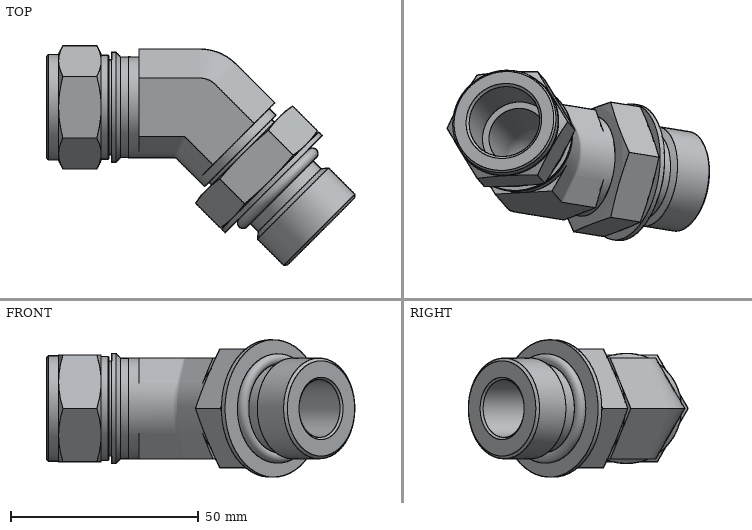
import cadquery as cq
import math

OVERALL_LENGTH = 82.3
BEND_ANGLE = 45.0
BEND = math.radians(BEND_ANGLE)
HALF_BEND = BEND / 2
COS_30 = math.cos(math.radians(30))

BODY_FLATS = 27.0
BODY_RADIUS = BODY_FLATS / 2
BODY_CORNER = BODY_RADIUS / COS_30
INLET_BODY_LENGTH = 15.5
OUTLET_BODY_LENGTH = 13.9
BEND_CENTRE_OFFSET = 2.05
CROTCH_FILLET = 1.2

PIPE_RADIUS = 26.9 / 2

OUTLET_END = 46.9
COLLAR_END = 16.5
LOCKNUT_START = 17.45
LOCKNUT_LENGTH = 10.2
LOCKNUT_FLATS = 31.8
LOCKNUT_CHAMFER = 0.4
WASHER_RADIUS = 36.7 / 2
WASHER_LENGTH = 1.4
NECK_RADIUS = 23.8 / 2
THREAD_LENGTH = 10.6
THREAD_CONE_LENGTH = 1.2
TIP_CHAMFER_LENGTH = 0.65
TIP_RADIUS = 25.4 / 2
O_RING_OUTER_RADIUS = 29.2 / 2
O_RING_SECTION_RADIUS = 3.05 / 2

LOCKNUT_END = LOCKNUT_START + LOCKNUT_LENGTH
WASHER_END = LOCKNUT_END + WASHER_LENGTH
THREAD_START = OUTLET_END - THREAD_LENGTH

CAP_RADIUS = 28.2 / 2
CAP_LENGTH = 3.2
CAP_CHAMFER = 0.5
INLET_NUT_FLATS = 28.6
INLET_NUT_LENGTH = 11.4
INLET_NUT_CHAMFER = 1.15
SKIRT_RADIUS = 27.8 / 2
SKIRT_LENGTH = 2.1
SKIRT_CHAMFER = 0.3
GAP_RADIUS = 25.4 / 2
GAP_LENGTH = 0.65
FLANGE_RADIUS = 29.5 / 2
FLANGE_LENGTH = 1.15
FLANGE_CONE_LENGTH = 1.2
SHANK_LENGTH = 2.1

OUTLET_REACH = (OUTLET_END - TIP_CHAMFER_LENGTH) * math.cos(BEND)
OUTLET_REACH += PIPE_RADIUS * math.sin(BEND)
INLET_END = OUTLET_REACH - OVERALL_LENGTH
INLET_NUT_START = INLET_END + CAP_LENGTH
INLET_NUT_END = INLET_NUT_START + INLET_NUT_LENGTH
SKIRT_END = INLET_NUT_END + SKIRT_LENGTH
FLANGE_START = SKIRT_END + GAP_LENGTH
FLANGE_END = FLANGE_START + FLANGE_LENGTH
SHANK_START = FLANGE_END + FLANGE_CONE_LENGTH
SHANK_END = SHANK_START + SHANK_LENGTH

SOCKET_RADIUS = 19.3 / 2
SOCKET_MOUTH_RADIUS = 20.7 / 2
SOCKET_CHAMFER_LENGTH = 0.65
SOCKET_DEPTH = FLANGE_START - INLET_END
INLET_BORE_RADIUS = 15.7 / 2
OUTLET_BORE_RADIUS = 15.5 / 2
OUTLET_MOUTH_RADIUS = 16.6 / 2
OUTLET_MOUTH_CHAMFER = 0.6


def turned(profile):
    """Solid of revolution about X from (station, radius) points."""
    first_station = profile[0][0]
    last_station = profile[-1][0]
    outline = [(first_station, 0), *profile, (last_station, 0)]
    return cq.Workplane("XY").polyline(outline).close().revolve(360, (0, 0, 0), (1, 0, 0))


def chamfered_hex(start, length, flats, chamfer):
    """Hexagonal nut on X, flats facing +Z and -Z, corners turned down at both ends."""
    corner = flats / 2 / COS_30
    face = flats / 2
    end = start + length
    prism = cq.Workplane("YZ").workplane(offset=start).polygon(6, 2 * corner).extrude(length)
    envelope = turned([
        (start, face),
        (start + chamfer, corner),
        (end - chamfer, corner),
        (end, face),
    ])
    return prism.intersect(envelope)


def to_outlet(solid):
    """Turn a solid built on X onto the outlet axis."""
    return solid.rotate((0, 0, 0), (0, 0, 1), -BEND_ANGLE)


def rim_point(degrees):
    """Point of the body's inscribed circle, as (y, z), at an angle from +Y."""
    angle = math.radians(degrees)
    return (BODY_RADIUS * math.cos(angle), BODY_RADIUS * math.sin(angle))


def body_bar(start, end):
    """Body bar along X: hexagonal on the outer (+Y) side, round on the inner side."""
    half_side = BODY_CORNER / 2
    section = (
        cq.Workplane("YZ").workplane(offset=start)
        .moveTo(*rim_point(150))
        .lineTo(-half_side, BODY_RADIUS)
        .lineTo(*rim_point(90))
        .lineTo(half_side, BODY_RADIUS)
        .lineTo(*rim_point(30))
        .lineTo(BODY_CORNER, 0)
        .lineTo(*rim_point(-30))
        .lineTo(half_side, -BODY_RADIUS)
        .lineTo(*rim_point(-90))
        .lineTo(-half_side, -BODY_RADIUS)
        .lineTo(*rim_point(-150))
        .threePointArc(rim_point(180), rim_point(150))
        .close()
    )
    return section.extrude(end - start)


def body_spigot(start, end):
    """Round end of the body along X, with its rim split where it touches the flats."""
    section = cq.Workplane("YZ").workplane(offset=start).moveTo(*rim_point(150))
    for contact in (90, 30, -30, -90, -150):
        section = section.threePointArc(rim_point(contact + 30), rim_point(contact))
    section = section.threePointArc(rim_point(180), rim_point(150))
    return section.close().extrude(end - start)


def elbow_body():
    """Two spigoted bars, a swept outer bend and a small fillet in the inner crotch."""
    bend_start = BEND_CENTRE_OFFSET * math.tan(HALF_BEND)
    outer_bend = (
        cq.Workplane("YZ").workplane(offset=bend_start)
        .polyline([
            (BEND_CENTRE_OFFSET, BODY_RADIUS),
            (BODY_CORNER / 2, BODY_RADIUS),
            (BODY_CORNER, 0),
            (BODY_CORNER / 2, -BODY_RADIUS),
            (BEND_CENTRE_OFFSET, -BODY_RADIUS),
        ])
        .close()
        .revolve(BEND_ANGLE, (BEND_CENTRE_OFFSET, 0.8, 0), (BEND_CENTRE_OFFSET, 0, 0))
    )
    inlet_bar = body_bar(-INLET_BODY_LENGTH, bend_start)
    inlet_spigot = body_spigot(SHANK_END, -INLET_BODY_LENGTH)
    inlet_leg = inlet_bar.union(inlet_spigot, clean=False)
    outlet_bar = body_bar(-bend_start, OUTLET_BODY_LENGTH)
    outlet_spigot = body_spigot(OUTLET_BODY_LENGTH, COLLAR_END)
    outlet_leg = to_outlet(outlet_bar.union(outlet_spigot, clean=False))
    body = inlet_leg.union(outlet_leg).union(outer_bend).clean()

    margin = CROTCH_FILLET / 2
    mitre_slope = math.tan(HALF_BEND)
    crotch_box = cq.selectors.BoxSelector(
        (-BODY_RADIUS * mitre_slope - margin, -BODY_RADIUS - margin, -BODY_RADIUS),
        (-BODY_CORNER / 2 * mitre_slope + margin, -BODY_CORNER / 2 - margin, BODY_RADIUS),
    )
    return body.edges(crotch_box).fillet(CROTCH_FILLET)


def inlet_fitting():
    """Coupling nut with its round cap and skirt, then the flanged shank."""
    round_parts = turned([
        (INLET_END, CAP_RADIUS - CAP_CHAMFER),
        (INLET_END + CAP_CHAMFER, CAP_RADIUS),
        (INLET_NUT_START, CAP_RADIUS),
        (INLET_NUT_START, SKIRT_RADIUS),
        (SKIRT_END - SKIRT_CHAMFER, SKIRT_RADIUS),
        (SKIRT_END, SKIRT_RADIUS - SKIRT_CHAMFER),
        (SKIRT_END, GAP_RADIUS),
        (FLANGE_START, GAP_RADIUS),
        (FLANGE_START, FLANGE_RADIUS),
        (FLANGE_END, FLANGE_RADIUS),
        (SHANK_START, PIPE_RADIUS),
        (SHANK_END, PIPE_RADIUS),
    ])
    nut = chamfered_hex(INLET_NUT_START, INLET_NUT_LENGTH, INLET_NUT_FLATS, INLET_NUT_CHAMFER)
    return round_parts.union(nut)


def outlet_fitting():
    """Neck, locknut, washer, O-ring and threaded end, built on X."""
    round_parts = turned([
        (COLLAR_END, NECK_RADIUS),
        (LOCKNUT_END, NECK_RADIUS),
        (LOCKNUT_END, WASHER_RADIUS),
        (WASHER_END, WASHER_RADIUS),
        (WASHER_END, NECK_RADIUS),
        (THREAD_START - THREAD_CONE_LENGTH, NECK_RADIUS),
        (THREAD_START, PIPE_RADIUS),
        (OUTLET_END - TIP_CHAMFER_LENGTH, PIPE_RADIUS),
        (OUTLET_END, TIP_RADIUS),
    ])
    locknut = chamfered_hex(LOCKNUT_START, LOCKNUT_LENGTH, LOCKNUT_FLATS, LOCKNUT_CHAMFER)
    ring_centre_radius = O_RING_OUTER_RADIUS - O_RING_SECTION_RADIUS
    o_ring = (
        cq.Workplane("XY")
        .center(WASHER_END + O_RING_SECTION_RADIUS, ring_centre_radius)
        .circle(O_RING_SECTION_RADIUS)
        .revolve(360, (0, -ring_centre_radius, 0), (1, -ring_centre_radius, 0))
    )
    return round_parts.union(locknut).union(o_ring)


def passage():
    """Tube socket and ball-ended inlet bore meeting the outlet bore."""
    inlet = (
        cq.Workplane("XY")
        .moveTo(INLET_END, 0)
        .lineTo(INLET_END, SOCKET_MOUTH_RADIUS)
        .lineTo(INLET_END + SOCKET_CHAMFER_LENGTH, SOCKET_RADIUS)
        .lineTo(INLET_END + SOCKET_DEPTH, SOCKET_RADIUS)
        .lineTo(INLET_END + SOCKET_DEPTH, INLET_BORE_RADIUS)
        .lineTo(0, INLET_BORE_RADIUS)
        .radiusArc((INLET_BORE_RADIUS, 0), INLET_BORE_RADIUS)
        .close()
        .revolve(360, (0, 0, 0), (1, 0, 0))
    )
    outlet = turned([
        (0, OUTLET_BORE_RADIUS),
        (OUTLET_END - OUTLET_MOUTH_CHAMFER, OUTLET_BORE_RADIUS),
        (OUTLET_END, OUTLET_MOUTH_RADIUS),
    ])
    return inlet.union(to_outlet(outlet))


result = elbow_body().union(inlet_fitting()).union(to_outlet(outlet_fitting())).cut(passage())